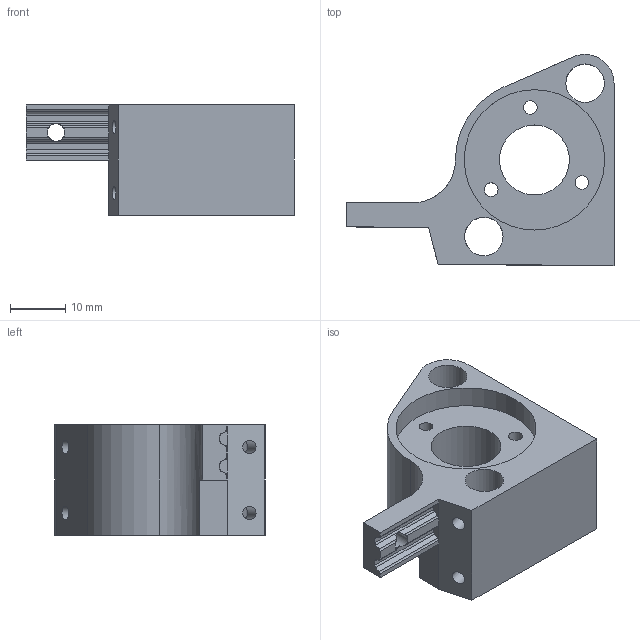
import cadquery as cq
import math

HEIGHT = 20.0
BORE_DIAMETER = 12.7
RECESS_DIAMETER = 25.5
RECESS_DEPTH = 4.0
WALL = 1.6
OUTER_RADIUS = RECESS_DIAMETER / 2 + WALL

SCREW_DIAMETER = 2.5
SCREW_CIRCLE_RADIUS = 9.55
SCREW_COUNT = 3
FIRST_SCREW_ANGLE = 94.5

ROD_DIAMETER = 7.0
ROD_X = 9.2
ROD_Y = 13.92
BOSS_RADIUS = 5.25
RIGHT_X = ROD_X + BOSS_RADIUS
BOTTOM_Y = -ROD_Y - BOSS_RADIUS

ARM_TILT = 0.3
ARM_LENGTH = 15.0
ARM_THICKNESS = 4.42
ARM_HEIGHT = 10.0
ARM_BOTTOM_Z = HEIGHT - ARM_HEIGHT
ROOT_X = -19.24
ROOT_Y = -12.25
ARM_HOLE_DIAMETER = 3.2
ARM_HOLE_FROM_TIP = 5.45

TOOTH_PITCH = 5.0
TOOTH_COUNT = 2
TOOTH_DEPTH = 1.42
TOOTH_MOUTH_WIDTH = 2.7
TOOTH_FLANK_ANGLE = 22.0
TOOTH_CORNER_RADIUS = 0.4

CLAMP_DIAMETER = 2.5
CLAMP_FROM_END = 4.0
CLAMP_FACE_ANGLE = 14.5
UPPER_CLAMP_ANGLE = -30.0
CLAMP_REACH = 12.0

CUT_MARGIN = 1.0


def polar(radius, angle, center=(0.0, 0.0)):
    """Point at a radius and an angle in degrees around a center."""
    turn = math.radians(angle)
    return (center[0] + radius * math.cos(turn), center[1] + radius * math.sin(turn))


def place_on_arm(shape):
    """Move a shape from the arm frame (X = 0 at the root, -X to the tip) to the part."""
    return shape.rotate((0, 0, 0), (0, 0, 1), -ARM_TILT).translate((ROOT_X, ROOT_Y, 0))


def make_body():
    """Full-height plate: bore wall, rod boss, square corner and arm."""
    boss = (ROD_X, ROD_Y)
    boss_distance = math.hypot(ROD_X, ROD_Y)
    boss_direction = math.degrees(math.atan2(ROD_Y, ROD_X))
    tangent_spread = math.degrees(math.acos((OUTER_RADIUS - BOSS_RADIUS) / boss_distance))
    tangent_angle = boss_direction + tangent_spread

    arm_normal_angle = 90 - ARM_TILT
    root = (ROOT_X, ROOT_Y)
    tip_lower = polar(ARM_LENGTH, 180 - ARM_TILT, root)
    tip_upper = polar(ARM_THICKNESS, arm_normal_angle, tip_lower)

    tilt = math.radians(ARM_TILT)
    blend_reach = -(OUTER_RADIUS + tip_upper[0]) * math.sin(tilt) - tip_upper[1] * math.cos(tilt)
    blend_radius = blend_reach / (1 + math.sin(tilt))
    blend_center = (-OUTER_RADIUS - blend_radius, 0.0)

    slope = math.tan(math.radians(CLAMP_FACE_ANGLE))
    rise = math.tan(tilt)
    edge_drop = ROOT_Y - BOTTOM_Y - (RIGHT_X - ROOT_X) * rise
    corner_drop = edge_drop / (1 - slope * rise)
    lower_left = (ROOT_X + slope * corner_drop, ROOT_Y - corner_drop)

    return (
        cq.Workplane("XY")
        .moveTo(RIGHT_X, BOTTOM_Y)
        .lineTo(RIGHT_X, ROD_Y)
        .threePointArc(
            polar(BOSS_RADIUS, tangent_angle / 2, boss),
            polar(BOSS_RADIUS, tangent_angle, boss),
        )
        .lineTo(*polar(OUTER_RADIUS, tangent_angle))
        .threePointArc(polar(OUTER_RADIUS, (tangent_angle + 180) / 2), (-OUTER_RADIUS, 0))
        .threePointArc(
            polar(blend_radius, (arm_normal_angle - 180) / 2, blend_center),
            polar(blend_radius, arm_normal_angle - 180, blend_center),
        )
        .lineTo(*tip_upper)
        .lineTo(*tip_lower)
        .lineTo(*root)
        .lineTo(*lower_left)
        .close()
        .extrude(HEIGHT)
    )


def make_arm_clearance():
    """Space under the arm."""
    size = (ARM_LENGTH + CUT_MARGIN, ARM_THICKNESS + 2 * CUT_MARGIN, ARM_BOTTOM_Z)
    corner = (-size[0], -CUT_MARGIN, 0)
    return place_on_arm(cq.Workplane("XY").box(*size, centered=False).translate(corner))


def make_tooth_groove(center_z):
    """Trapezoidal groove along the arm with rounded mouth and floor corners."""
    flank = math.radians(TOOTH_FLANK_ANGLE)
    mouth = TOOTH_MOUTH_WIDTH / 2
    floor = mouth - TOOTH_DEPTH * math.tan(flank)
    setback = TOOTH_CORNER_RADIUS * math.tan((math.pi / 2 - flank) / 2)
    flank_y = setback * math.cos(flank)
    flank_z = setback * math.sin(flank)

    def flank_points(side):
        """Ends of the two corner arcs on one flank, from the mouth to the floor."""
        return [
            (0, center_z + side * (mouth + setback)),
            (flank_y, center_z + side * (mouth - flank_z)),
            (TOOTH_DEPTH - flank_y, center_z + side * (floor + flank_z)),
            (TOOTH_DEPTH, center_z + side * (floor - setback)),
        ]

    low = flank_points(-1)
    high = flank_points(1)
    groove = (
        cq.Workplane("YZ")
        .moveTo(*low[0])
        .radiusArc(low[1], -TOOTH_CORNER_RADIUS)
        .lineTo(*low[2])
        .radiusArc(low[3], TOOTH_CORNER_RADIUS)
        .lineTo(*high[3])
        .radiusArc(high[2], TOOTH_CORNER_RADIUS)
        .lineTo(*high[1])
        .radiusArc(high[0], -TOOTH_CORNER_RADIUS)
        .close()
        .extrude(-ARM_LENGTH - CUT_MARGIN)
    )
    return place_on_arm(groove)


def make_arm_hole():
    """Round hole across the arm."""
    center = cq.Vector(ARM_HOLE_FROM_TIP - ARM_LENGTH, -CUT_MARGIN, HEIGHT - ARM_HEIGHT / 2)
    length = ARM_THICKNESS + 2 * CUT_MARGIN
    hole = cq.Solid.makeCylinder(ARM_HOLE_DIAMETER / 2, length, center, cq.Vector(0, 1, 0))
    return place_on_arm(cq.Workplane(hole))


def make_clamp_hole(rod_center, angle, z):
    """Hole from outside to the axis of a rod hole, drilled along the given angle."""
    start = polar(-CLAMP_REACH, angle, rod_center)
    direction = polar(1, angle)
    return cq.Solid.makeCylinder(
        CLAMP_DIAMETER / 2, CLAMP_REACH, cq.Vector(*start, z), cq.Vector(*direction, 0)
    )


body = make_body()
body = body.cut(make_arm_clearance())

body = body.cut(cq.Workplane("XY").circle(BORE_DIAMETER / 2).extrude(HEIGHT))
recess = cq.Workplane("XY").workplane(offset=HEIGHT - RECESS_DEPTH).circle(RECESS_DIAMETER / 2)
body = body.cut(recess.extrude(RECESS_DEPTH))
screw_points = [
    polar(SCREW_CIRCLE_RADIUS, FIRST_SCREW_ANGLE + i * 360 / SCREW_COUNT) for i in range(SCREW_COUNT)
]
body = body.cut(cq.Workplane("XY").pushPoints(screw_points).circle(SCREW_DIAMETER / 2).extrude(HEIGHT))

upper_rod = (ROD_X, ROD_Y)
lower_rod = (-ROD_X, -ROD_Y)
body = body.cut(
    cq.Workplane("XY").pushPoints([upper_rod, lower_rod]).circle(ROD_DIAMETER / 2).extrude(HEIGHT)
)
for clamp_z in (CLAMP_FROM_END, HEIGHT - CLAMP_FROM_END):
    body = body.cut(cq.Workplane(make_clamp_hole(upper_rod, UPPER_CLAMP_ANGLE, clamp_z)))
    body = body.cut(cq.Workplane(make_clamp_hole(lower_rod, CLAMP_FACE_ANGLE, clamp_z)))

for tooth in range(TOOTH_COUNT):
    body = body.cut(make_tooth_groove(HEIGHT - (tooth + 0.5) * TOOTH_PITCH))
body = body.cut(make_arm_hole())

result = body